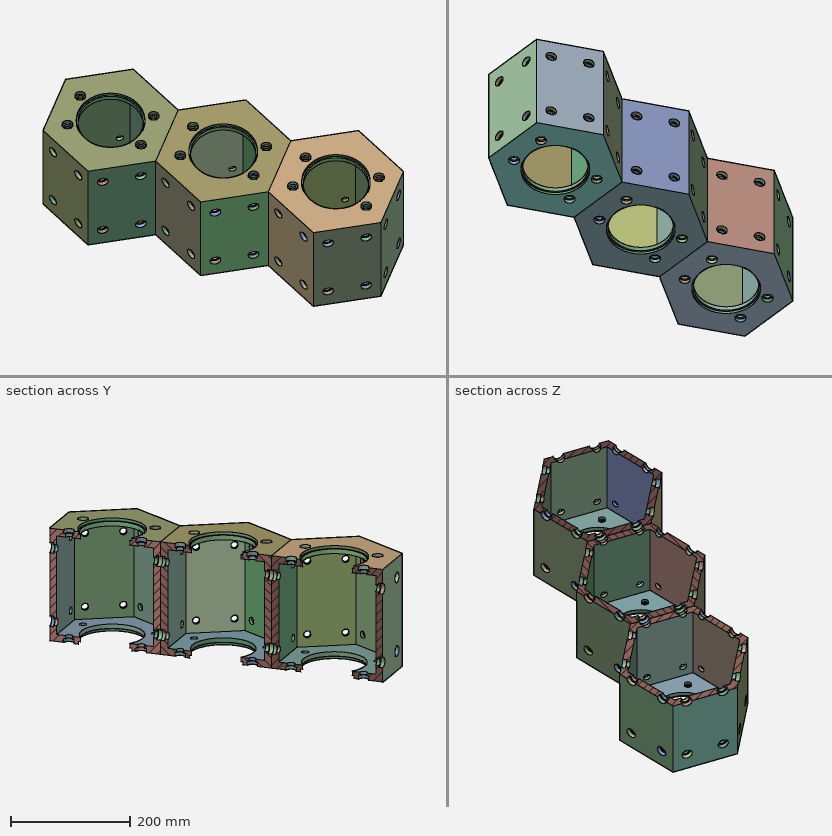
import cadquery as cq
import math

row_length = 600.0
module_count = 3
wall = 13.0
bore_diameter = 110.0
bore_recess_diameter = 115.0
bore_recess_depth = 5.0
screw_diameter = 12.0
screw_head_diameter = 18.0
screw_head_depth = 7.0
screw_spacing_long = 130.0

screw_spacing_short = screw_spacing_long / 2
across_flats = row_length / module_count
height = across_flats
apothem = across_flats / 2
side_count = 6
side_angle = 360 / side_count


def hexagonal_prism(flats, depth):
    """Hexagonal prism centred on the origin, with two of its flats facing -X and +X."""
    corner_diameter = flats / math.cos(math.radians(side_angle / 2))
    prism = cq.Workplane("XY").polygon(side_count, corner_diameter).extrude(depth / 2, both=True)
    return prism.rotate((0, 0, 0), (0, 0, 1), side_angle / 2)


def stepped_hole_cutter(diameter, mouth_diameter, mouth_depth):
    """Counterbored cutter through one wall, going down from its mouth at z = 0."""
    hole = cq.Workplane("XY").circle(diameter / 2).extrude(-wall)
    mouth = cq.Workplane("XY").circle(mouth_diameter / 2).extrude(-mouth_depth)
    return hole.union(mouth)


def screw_pattern_cutter():
    """Four screw holes in a rectangle, its long side along X, with their mouths at z = 0."""
    hole = stepped_hole_cutter(screw_diameter, screw_head_diameter, screw_head_depth)
    pattern = cq.Workplane("XY")
    for x in (-screw_spacing_long / 2, screw_spacing_long / 2):
        for y in (-screw_spacing_short / 2, screw_spacing_short / 2):
            pattern = pattern.add(hole.translate((x, y, 0)))
    return pattern.combine()


def end_plate_cutter():
    """Bore and screw holes of the top end plate."""
    bore = stepped_hole_cutter(bore_diameter, bore_recess_diameter, bore_recess_depth)
    return bore.add(screw_pattern_cutter()).combine().translate((0, 0, height / 2))


def side_wall_cutter():
    """Screw holes of the side wall that faces +X, the long side of the pattern along Z."""
    return screw_pattern_cutter().rotate((0, 0, 0), (0, 1, 0), 90).translate((apothem, 0, 0))


def hexagonal_module():
    """Hollow hexagonal housing with pierced walls and end plates, centred on the origin."""
    cavity = hexagonal_prism(across_flats - 2 * wall, height - 2 * wall)
    body = hexagonal_prism(across_flats, height).cut(cavity)

    top_holes = end_plate_cutter()
    body = body.cut(top_holes).cut(top_holes.mirror("XY"))

    wall_holes = side_wall_cutter()
    for side in range(side_count):
        body = body.cut(wall_holes.rotate((0, 0, 0), (0, 0, 1), side * side_angle))
    return body


module = hexagonal_module()
modules = []
for index in range(module_count):
    offset = (index - (module_count - 1) / 2) * across_flats
    modules.append(module.translate((offset, 0, 0)).solids().val())

result = cq.Compound.makeCompound(modules)